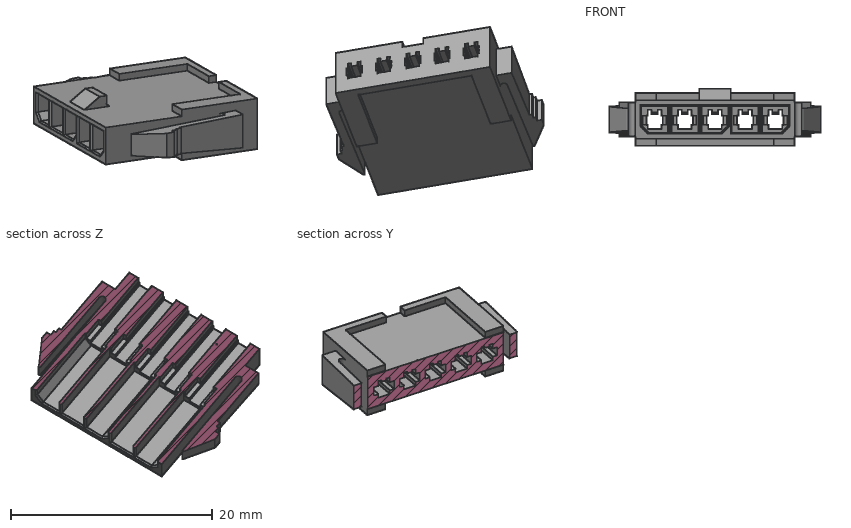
import cadquery as cq
import math


overall_width = 21.05
overall_height = 5.7

body_width = 15.85
body_length = 16.9
body_height = 3.85

rimmed_height = 5.26
rim_front = 8.48
rim_side_width = 2.1
rim_back_width = 0.85
rim_gap = 2.15

cell_count = 5
cell_row_span = 12.0
cell_pitch = cell_row_span / (cell_count - 1)
cell_size = 2.88
cell_depth = 8.42
cell_key = 0.8
lead_in_width = 0.13
lead_in_depth = 0.19
cell_keys = {0: -1, 2: 1, 4: 1}

passage_width = 1.33
passage_height = 1.9
passage_entry_length = 2.1
wing_top = 0.38
wing_bottom = -0.53
entry_wing_width = 2.32
rear_wing_width = 1.6
tongue_width = 0.63
entry_tongue_height = 0.2
rear_tongue_height = 0.42

ramp_width = 3.15
ramp_height = overall_height - (rimmed_height + body_height) / 2
ramp_front = 0.85
ramp_crest_front = 2.55
ramp_back = 3.35
ramp_foot = 0.25

clip_reach = (overall_width - body_width) / 2
clip_gap = 0.7
clip_outer = 1.6
clip_step_1 = 1.87
clip_step_2 = 2.1
clip_tip_width = 0.2
clip_tip = 2.45
clip_tip_rise = 0.08
clip_barb_front = 5.5
clip_barb_back = 6.34
clip_step_2_back = 6.88
clip_step_1_back = 7.45
clip_back = 14.48
clip_slot_end = 13.05
clip_tip_height = 2.2
clip_back_height = 3.45


def box(width, y_front, y_back, z_bottom, z_top, x_center=0.0):
    """Block centred on x_center, given by its Y and Z limits."""
    return (
        cq.Workplane("XY")
        .box(width, y_back - y_front, z_top - z_bottom, centered=(True, False, False))
        .translate((x_center, y_front, z_bottom))
    )


def make_housing():
    """Slab with the U-shaped rims; the back wall of the upper rim has a central gap."""
    half_height = body_height / 2
    full_half_height = rimmed_height / 2
    housing = box(body_width, 0, body_length, -half_height, half_height)
    rims = box(body_width, rim_front, body_length, -full_half_height, full_half_height)
    recess_width = body_width - 2 * rim_side_width
    recess_back = body_length - rim_back_width
    top_recess = box(recess_width, rim_front, recess_back, half_height, full_half_height)
    bottom_recess = box(recess_width, rim_front, recess_back, -full_half_height, -half_height)
    gap = box(rim_gap, recess_back, body_length, half_height, full_half_height)
    return housing.union(rims.cut(top_recess).cut(bottom_recess).cut(gap))


def make_ramp():
    """Locking ramp rising from the front, with a small sloped foot at its back."""
    base = body_height / 2
    top = base + ramp_height
    profile = [
        (ramp_front, base),
        (ramp_crest_front, top),
        (ramp_back, top),
        (ramp_back, base + ramp_foot),
        (ramp_back + ramp_foot, base),
    ]
    return cq.Workplane("YZ").polyline(profile).close().extrude(ramp_width / 2, both=True)


def cell_outline(x_center, key_side, inset, y):
    """Wire of a cell at depth y, inset evenly on all sides from its mouth at the mating face."""
    half = cell_size / 2 - inset
    key = cell_key - inset * (2 - math.sqrt(2))
    if key_side == 0:
        bottom = [(-half, -half), (half, -half)]
    else:
        bottom = [
            (key_side * half, key - half),
            (key_side * (half - key), -half),
            (-key_side * half, -half),
        ]
    top = [(-half, half), (half, half)]
    if bottom[0][0] < 0:
        top.reverse()
    points = [cq.Vector(x_center + x, y, z) for x, z in bottom + top]
    return cq.Wire.makePolygon(points, close=True)


def make_cell(x_center, key_side):
    """Straight cell pocket with a tapered lead-in at the mating face."""
    inner = cell_outline(x_center, key_side, lead_in_width, 0.0)
    pocket = cq.Solid.extrudeLinear(inner, [], cq.Vector(0, cell_depth, 0))
    mouth = cell_outline(x_center, key_side, 0.0, 0.0)
    throat = cell_outline(x_center, key_side, lead_in_width, lead_in_depth)
    lead_in = cq.Solid.makeLoft([mouth, throat], True)
    return cq.Workplane(pocket).union(cq.Workplane(lead_in))


def passage_section(x_center, y_front, y_back, wing_width, tongue_height):
    """Stretch of terminal passage: a slot with side wings and a tongue hanging from its top."""
    half_height = passage_height / 2
    slot = box(passage_width, y_front, y_back, -half_height, half_height, x_center)
    wings = box(wing_width, y_front, y_back, wing_bottom, wing_top, x_center)
    tongue = box(tongue_width, y_front, y_back, half_height - tongue_height, half_height, x_center)
    return slot.union(wings).cut(tongue)


def make_passage(x_center):
    """Passage with wide wings behind the cell floor and narrower ones on to the back."""
    step = cell_depth + passage_entry_length
    entry = passage_section(x_center, cell_depth, step, entry_wing_width, entry_tongue_height)
    rear = passage_section(x_center, step, body_length, rear_wing_width, rear_tongue_height)
    return entry.union(rear)


def make_clip():
    """Right-hand clip: a stepped, barbed arm whose height tapers toward its tip."""
    side = body_width / 2
    inner = side + clip_gap
    tip_back = clip_tip + clip_tip_rise
    arm = (
        cq.Workplane("XY")
        .moveTo(side, clip_back)
        .lineTo(side + clip_outer, clip_back)
        .lineTo(side + clip_outer, clip_step_1_back)
        .lineTo(side + clip_step_1, clip_step_1_back)
        .lineTo(side + clip_step_1, clip_step_2_back)
        .lineTo(side + clip_step_2, clip_step_2_back)
        .lineTo(side + clip_step_2, clip_barb_back)
        .lineTo(side + clip_reach, clip_barb_back)
        .lineTo(side + clip_reach, clip_barb_front)
        .lineTo(inner + clip_tip_width, tip_back)
        .threePointArc((inner + clip_tip_width / 2, clip_tip), (inner, tip_back))
        .lineTo(inner, clip_slot_end - clip_gap / 2)
        .threePointArc((side + clip_gap / 2, clip_slot_end), (side, clip_slot_end - clip_gap / 2))
        .close()
        .extrude(clip_back_height / 2, both=True)
    )
    taper = (
        cq.Workplane("YZ")
        .polyline([
            (clip_tip, -clip_tip_height / 2),
            (clip_back, -clip_back_height / 2),
            (clip_back, clip_back_height / 2),
            (clip_tip, clip_tip_height / 2),
        ])
        .close()
        .extrude(overall_width)
    )
    return arm.intersect(taper)


result = make_housing().union(make_ramp())

for index in range(cell_count):
    cell_x = index * cell_pitch - cell_row_span / 2
    result = result.cut(make_cell(cell_x, cell_keys.get(index, 0)))
    result = result.cut(make_passage(cell_x))

right_clip = make_clip()
result = result.union(right_clip).union(right_clip.mirror("YZ"))